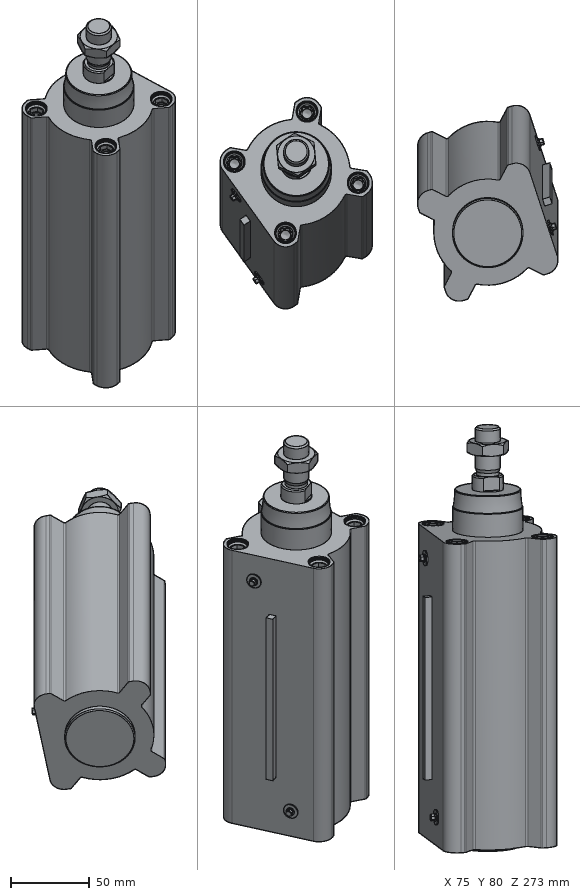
import cadquery as cq
import math

total_height = 273.0
housing_width = 75.0
overall_depth = 80.0

barrel_bottom = 3.8
barrel_top = 205.6
collar_shoulder = 221.2
collar_top = 232.5
barrel_middle = (barrel_bottom + barrel_top) / 2

back_face = housing_width / 2
barrel_diameter = 69.0
barrel_radius = barrel_diameter / 2
lobe_offset = 28.5
lobe_radius = back_face - lobe_offset
lobe_neck_width = 17.2
notch_radius = 1.5
lobe_edge_radius = 1.5

boss_diameter = 45.0
boss_chamfer = 0.8
collar_chamfer = 0.5
wiper_chamfer = 0.5
wiper_bottom_diameter = 44.2
wiper_top_diameter = 42.3
wiper_hollow = 0.22

screw_mouth_diameter = 14.0
screw_mouth_depth = 0.5
screw_recess_diameter = 13.0
screw_recess_depth = 1.5
screw_hole_diameter = 12.0
screw_head_depth = 2.2
screw_countersink_diameter = 9.8
screw_countersink_depth = 3.3
screw_socket_flats = 8.0
screw_socket_depth = 6.5
screw_bore_diameter = 6.5
screw_bore_depth = 8.0
screw_tip_depth = 9.8

rail_width = 4.6
rail_length = 119.3
rail_height = overall_depth - housing_width

cushion_x = 12.8
cushion_z_spacing = 164.0
cushion_flange_diameter = 9.8
cushion_flange_height = 0.8
cushion_shoulder_diameter = 5.5
cushion_shoulder_height = 1.6
cushion_hex_flats = 3.8
cushion_height = 4.0
cushion_end_chamfer = 0.3

rod_diameter = 20.0
rod_flats = 17.0
rod_shoulder = 242.0
rod_shoulder_chamfer = 0.8
flats_bottom = collar_top + 0.8
neck_diameter = 14.5
neck_top = 244.2
thread_bottom = 246.3
thread_diameter = 16.0
thread_chamfer = 1.0

nut_bottom = 256.2
nut_height = 8.0
nut_flats = 24.0
nut_face_diameter = 23.8
nut_chamfer_angle = 30.0


def across_corners(flats):
    return flats / math.cos(math.pi / 6)


def make_lobe(angle):
    """Corner lobe at the given angle about Z: a rounded square corner narrowed to a diagonal neck."""
    height = barrel_top - barrel_bottom
    corner = (
        cq.Workplane("XY", origin=(0, 0, barrel_bottom))
        .rect(back_face, back_face, centered=False)
        .extrude(height)
        .edges("|Z and >(1,1,0)")
        .fillet(lobe_radius)
    )
    neck_length = math.hypot(back_face, back_face)
    neck = (
        cq.Workplane("XY", origin=(0, 0, barrel_bottom))
        .rect(2 * neck_length, lobe_neck_width)
        .extrude(height)
        .rotate((0, 0, 0), (0, 0, 1), 45)
    )
    lobe = corner.intersect(neck)
    flat_end = back_face - lobe_neck_width / math.sqrt(2)
    for x, y in [(back_face, flat_end), (flat_end, back_face)]:
        neck_edge = cq.selectors.NearestToPointSelector((x, y, barrel_middle))
        lobe = lobe.edges("|Z").edges(neck_edge).fillet(lobe_edge_radius)
    return lobe.rotate((0, 0, 0), (0, 0, 1), angle)


def fillet_notches(barrel):
    """Round the inner corners where the lobe necks leave the round barrel."""
    half_neck = lobe_neck_width / 2
    along = math.sqrt(barrel_radius**2 - half_neck**2)
    near = (along - half_neck) / math.sqrt(2)
    far = (along + half_neck) / math.sqrt(2)
    corners = [(far, near), (-far, near), (far, -near), (-far, -near), (near, -far), (-near, -far)]
    for x, y in corners:
        corner = cq.selectors.NearestToPointSelector((x, y, barrel_middle))
        barrel = barrel.edges("|Z").edges(corner).fillet(notch_radius)
    return barrel


def make_barrel():
    """Round barrel with four corner lobes and a flat back between the two rear lobes."""
    height = barrel_top - barrel_bottom
    barrel = cq.Workplane("XY", origin=(0, 0, barrel_bottom)).circle(barrel_radius).extrude(height)
    back = (
        cq.Workplane("XY", origin=(0, 0, barrel_bottom))
        .polyline([
            (0, 0),
            (lobe_offset, lobe_offset),
            (lobe_offset, back_face),
            (-lobe_offset, back_face),
            (-lobe_offset, lobe_offset),
        ])
        .close()
        .extrude(height)
    )
    barrel = barrel.union(back)
    for angle in (0, 90, 180, 270):
        barrel = barrel.union(make_lobe(angle))
    return fillet_notches(barrel)


def make_bosses():
    """Turned bosses: a short spigot below the barrel, a collar with a tapered wiper above it."""
    spigot = (
        cq.Workplane("XY")
        .circle(boss_diameter / 2)
        .extrude(barrel_bottom)
        .faces("<Z")
        .chamfer(boss_chamfer)
    )
    wiper_middle = (
        (wiper_bottom_diameter + wiper_top_diameter) / 4 - wiper_hollow,
        (collar_shoulder + collar_top - wiper_chamfer) / 2,
    )
    collar = (
        cq.Workplane("XZ")
        .moveTo(0, barrel_top)
        .lineTo(boss_diameter / 2, barrel_top)
        .lineTo(boss_diameter / 2, collar_shoulder - collar_chamfer)
        .lineTo(wiper_bottom_diameter / 2, collar_shoulder)
        .threePointArc(wiper_middle, (wiper_top_diameter / 2, collar_top - wiper_chamfer))
        .lineTo(wiper_top_diameter / 2 - wiper_chamfer, collar_top)
        .lineTo(0, collar_top)
        .close()
        .revolve(360, (0, 0, 0), (0, 1, 0))
    )
    return spigot, collar


def make_screw_hole(x, y):
    """Stepped, countersunk hole with a hexagon socket in its floor and a pointed bore below the socket."""
    profile = [
        (0, 0),
        (screw_mouth_diameter / 2, 0),
        (screw_recess_diameter / 2, -screw_mouth_depth),
        (screw_recess_diameter / 2, -screw_recess_depth),
        (screw_hole_diameter / 2, -screw_recess_depth),
        (screw_hole_diameter / 2, -screw_head_depth),
        (screw_countersink_diameter / 2, -screw_countersink_depth),
        (screw_bore_diameter / 2, -screw_countersink_depth),
        (screw_bore_diameter / 2, -screw_bore_depth),
        (0, -screw_tip_depth),
    ]
    hole = cq.Workplane("XZ").polyline(profile).close().revolve(360, (0, 0, 0), (0, 1, 0))
    socket = cq.Workplane("XY").polygon(6, across_corners(screw_socket_flats)).extrude(-screw_socket_depth)
    return hole.union(socket).translate((x, y, barrel_top))


def make_rail():
    return cq.Workplane("XY").box(rail_width, rail_height, rail_length).translate(
        (0, back_face + rail_height / 2, barrel_middle)
    )


def make_cushion_screw(x, z):
    """Flanged screw with a round shoulder and a hexagonal end, standing out of the back face."""
    base = cq.Workplane("XZ", origin=(x, back_face, z))
    flange = base.circle(cushion_flange_diameter / 2).extrude(-cushion_flange_height)
    shoulder = base.circle(cushion_shoulder_diameter / 2).extrude(-cushion_shoulder_height)
    end = (
        base.transformed(rotate=(0, 0, 90))
        .polygon(6, across_corners(cushion_hex_flats))
        .extrude(-cushion_height)
        .faces(">Y")
        .chamfer(cushion_end_chamfer)
    )
    return flange.union(shoulder).union(end)


def make_housing():
    housing = make_barrel()
    for boss in make_bosses():
        housing = housing.union(boss)
    housing = housing.union(make_rail())
    for side in (-1, 1):
        z = barrel_middle + side * cushion_z_spacing / 2
        housing = housing.union(make_cushion_screw(side * cushion_x, z))
    for x in (-lobe_offset, lobe_offset):
        for y in (-lobe_offset, lobe_offset):
            housing = housing.cut(make_screw_hole(x, y))
    return housing


def make_rod():
    """Turned rod end standing on the collar, with two wrench flats facing -X and +X."""
    profile = [
        (0, collar_top),
        (rod_diameter / 2, collar_top),
        (rod_diameter / 2, rod_shoulder - rod_shoulder_chamfer),
        (rod_diameter / 2 - rod_shoulder_chamfer, rod_shoulder),
        (neck_diameter / 2, rod_shoulder),
        (neck_diameter / 2, neck_top),
        (thread_diameter / 2, thread_bottom),
        (thread_diameter / 2, total_height - thread_chamfer),
        (thread_diameter / 2 - thread_chamfer, total_height),
        (0, total_height),
    ]
    rod = cq.Workplane("XZ").polyline(profile).close().revolve(360, (0, 0, 0), (0, 1, 0))
    flats_height = rod_shoulder - flats_bottom
    for side in (-1, 1):
        cutter = cq.Workplane("XY").box(rod_diameter, rod_diameter, flats_height).translate(
            (side * (rod_flats + rod_diameter) / 2, 0, flats_bottom + flats_height / 2)
        )
        rod = rod.cut(cutter)
    return rod


def make_nut():
    """Hexagon nut with its corners chamfered at both ends, two flats facing -X and +X."""
    corner_radius = across_corners(nut_flats) / 2
    face_radius = nut_face_diameter / 2
    chamfer_height = (corner_radius - face_radius) * math.tan(math.radians(nut_chamfer_angle))
    hexagon = (
        cq.Workplane("XY")
        .polygon(6, 2 * corner_radius)
        .extrude(nut_height)
        .rotate((0, 0, 0), (0, 0, 1), 30)
    )
    envelope = (
        cq.Workplane("XZ")
        .polyline([
            (thread_diameter / 2, 0),
            (face_radius, 0),
            (corner_radius, chamfer_height),
            (corner_radius, nut_height - chamfer_height),
            (face_radius, nut_height),
            (thread_diameter / 2, nut_height),
        ])
        .close()
        .revolve(360, (0, 0, 0), (0, 1, 0))
    )
    return hexagon.intersect(envelope).translate((0, 0, nut_bottom))


housing = make_housing()
rod = make_rod()
nut = make_nut()

result = cq.Compound.makeCompound([housing.val(), rod.val(), nut.val()])